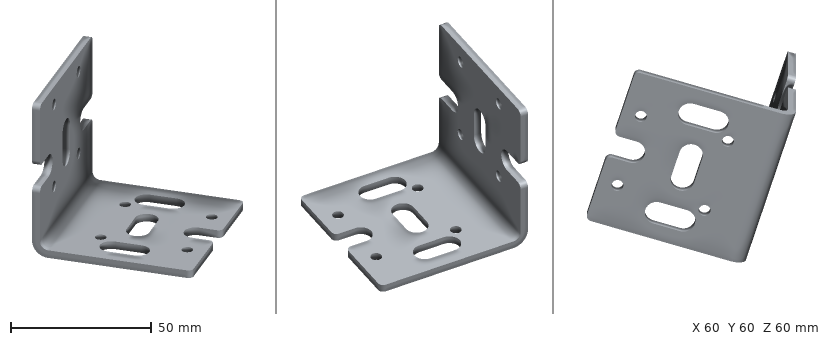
import cadquery as cq

leg_length = 60.0
width = 60.0
thickness = 3.0
inner_bend_radius = 3.0
outer_bend_radius = inner_bend_radius + thickness
corner_radius = 2.0

slot_distance = 31.5
slot_length = 18.5
slot_width = 8.5
slot_pitch = 20.0
hole_diameter = 4.2
hole_distances = (20.5, 53.0)
hole_offset = 14.0

notch_radius = slot_width / 2
cut_depth = 2 * thickness


def bent_sheet():
    """L-shaped strip with its middle plane at Y = 0."""
    return (
        cq.Workplane("XZ")
        .moveTo(outer_bend_radius, 0)
        .lineTo(leg_length, 0)
        .lineTo(leg_length, thickness)
        .lineTo(outer_bend_radius, thickness)
        .radiusArc((thickness, outer_bend_radius), inner_bend_radius)
        .lineTo(thickness, leg_length)
        .lineTo(0, leg_length)
        .lineTo(0, outer_bend_radius)
        .radiusArc((outer_bend_radius, 0), -outer_bend_radius)
        .close()
        .extrude(width / 2, both=True)
    )


def leg_plane(normal):
    """Workplane centred on a leg's thickness: local x along the leg, local y across it."""
    if normal == "Z":
        plane = cq.Plane(origin=(0, 0, thickness / 2), xDir=(1, 0, 0), normal=(0, 0, 1))
    else:
        plane = cq.Plane(origin=(thickness / 2, 0, 0), xDir=(0, 0, 1), normal=(-1, 0, 0))
    return cq.Workplane(plane)


def through(sketch):
    """Extrude a sketch on a leg plane into a tool that passes through the leg."""
    return sketch.extrude(cut_depth / 2, both=True)


def slot(plane, along, across, angle):
    return through(plane.center(along, across).slot2D(slot_length, slot_width, angle))


def screw_holes(plane):
    points = [(d, side * hole_offset) for d in hole_distances for side in (-1, 1)]
    return through(plane.pushPoints(points).circle(hole_diameter / 2))


def open_notch(plane, along, across, direction, run):
    """Round-ended notch centred at (along, across), leaving the leg edge after `run`.

    The mouth corners are rounded by the corner radius.
    """
    ux, uy = direction

    def point(forward, sideways):
        return (along + forward * ux - sideways * uy, across + forward * uy + sideways * ux)

    mouth = notch_radius + corner_radius
    straight_end = run - corner_radius
    return through(
        plane.moveTo(*point(0, notch_radius))
        .threePointArc(point(-notch_radius, 0), point(0, -notch_radius))
        .lineTo(*point(straight_end, -notch_radius))
        .tangentArcPoint(point(run, -mouth), relative=False)
        .lineTo(*point(run, mouth))
        .radiusArc(point(straight_end, notch_radius), corner_radius)
        .close()
    )


def base_leg_cuts():
    """Cutouts of the horizontal leg: three slots and a notch in the end edge."""
    tools = [screw_holes(leg_plane("Z")), slot(leg_plane("Z"), slot_distance, 0, 90)]
    for side in (-1, 1):
        tools.append(slot(leg_plane("Z"), slot_distance, side * slot_pitch, 0))
    notch_distance = slot_distance + slot_pitch
    tools.append(open_notch(leg_plane("Z"), notch_distance, 0, (1, 0), leg_length - notch_distance))
    return tools


def upright_leg_cuts():
    """Cutouts of the vertical leg: one slot and a notch in each side edge."""
    tools = [screw_holes(leg_plane("X")), slot(leg_plane("X"), slot_distance, 0, 0)]
    for side in (-1, 1):
        run = width / 2 - slot_pitch
        tools.append(open_notch(leg_plane("X"), slot_distance, side * slot_pitch, (0, side), run))
    return tools


bracket = bent_sheet()
bracket = bracket.faces(">X").edges("|Z").fillet(corner_radius)
bracket = bracket.faces(">Z").edges("|X").fillet(corner_radius)
for tool in base_leg_cuts() + upright_leg_cuts():
    bracket = bracket.cut(tool)

result = bracket